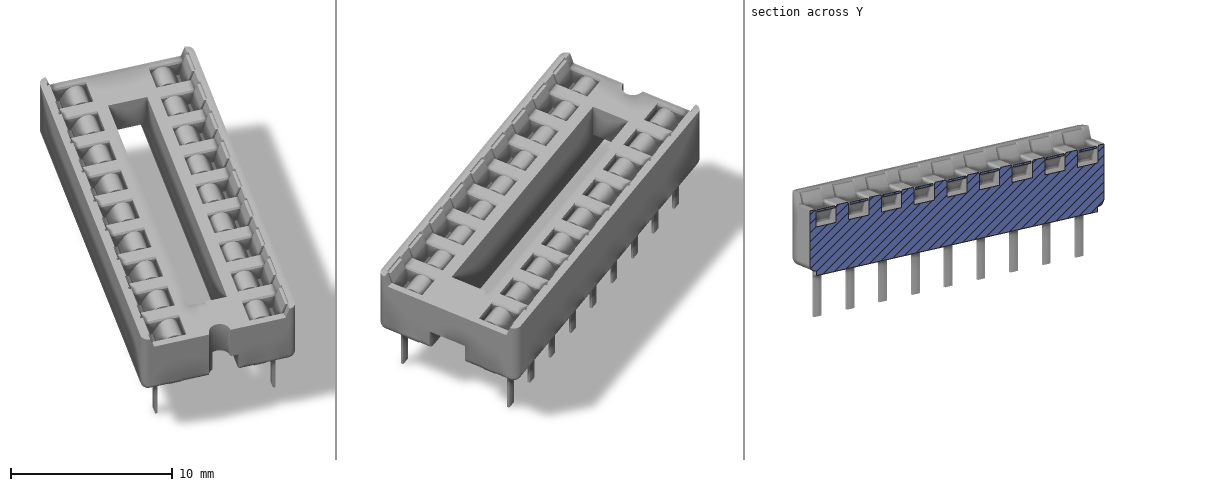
import cadquery as cq
import math


length = 22.85
width = 10.0
overall_height = 8.1
pins_per_row = 9
pitch = length / pins_per_row
standoff_height = 0.32
body_height = 4.78
body_top = standoff_height + body_height
deck_depth = 0.75
deck_z = body_top - deck_depth
edge_radius = 0.5

lip_top_y = 4.5
lip_foot_y = 4.25
lip_tilt = math.atan2(deck_depth, lip_top_y - lip_foot_y)

window_length = 17.42
window_width = pitch
channel_top = 1.92
blocked_edge_y = -0.3
notch_radius = 0.69

rail_y = 2.75
rail_width = 0.82
rail_length = length - 2 * edge_radius

pocket_inner_y = 2.03
pocket_width = 1.53
pocket_depth = 1.15
pocket_floor = deck_z - pocket_depth
pocket_outer_y = 4.6
lead_in_width = 0.1
lead_in_depth = 0.11

contact_width = 1.42
leaf_top_z = body_top - 0.14
leaf_top_y = 4.4
leaf_foot_y = 3.98
leaf_bend_y = 4.15
leaf_bend_z = leaf_top_z - math.tan(lip_tilt) * (leaf_top_y - leaf_bend_y)
arch_centre_y = 2.8
arch_outer_radius = 0.73
arch_inner_radius = 0.66
arch_thickness = 0.15
arch_clearance = 0.02
arch_leg_y = 3.75
arch_leg_tilt = math.radians(60)

pin_y = 1.5 * pitch
pin_width = 0.57
pin_thickness = 0.15
pin_bottom = body_top - overall_height


def extrude_along_x(points_yz, x_width, x_centre=0.0):
    """Extrude a closed Y-Z outline symmetrically about x_centre."""
    start = cq.Workplane("YZ", origin=(x_centre - x_width / 2, 0, 0))
    return start.polyline(points_yz).close().extrude(x_width)


def box_between(x_range, y_range, z_range):
    sizes = [high - low for low, high in (x_range, y_range, z_range)]
    corner = (x_range[0], y_range[0], z_range[0])
    return cq.Workplane("XY").box(*sizes, centered=False).translate(corner)


def make_shell():
    """Rounded block with the deck lowered between two sloped lips."""
    block = cq.Workplane("XY", origin=(0, 0, standoff_height)).box(
        length, width, body_height, centered=(True, True, False)
    )
    block = block.edges("|Z").fillet(edge_radius)
    block = block.faces("<Z").edges().fillet(edge_radius)
    deck_cut = [
        (-lip_top_y, body_top),
        (-lip_foot_y, deck_z),
        (lip_foot_y, deck_z),
        (lip_top_y, body_top),
    ]
    return block.cut(extrude_along_x(deck_cut, length))


def cut_openings(body):
    """Central window, a channel under each end bar and the round notch in the +X end."""
    half_length = length / 2
    half_window = window_width / 2
    window = cq.Workplane("XY").rect(window_length, window_width).extrude(body_top)
    channel_z = (0, channel_top)
    left_channel = box_between((-half_length, 0), (-half_window, half_window), channel_z)
    right_channel = box_between((0, half_length), (blocked_edge_y, half_window), channel_z)
    notch = cq.Workplane("XY").center(half_length, 0).circle(notch_radius).extrude(body_top)
    return body.cut(window).cut(left_channel).cut(right_channel).cut(notch)


def make_rail():
    """Standoff rail on the +Y side."""
    rail_top = standoff_height + edge_radius
    return cq.Workplane("XY").center(0, rail_y).rect(rail_length, rail_width).extrude(rail_top)


def make_lead_in(start_yz, tilt, run):
    """Groove with bevelled sides, sunk below a surface that rises toward +Y at the given tilt."""
    bottom_half = pocket_width / 2
    top_half = bottom_half + lead_in_width
    plane = cq.Plane(origin=(0, *start_yz), xDir=(1, 0, 0), normal=(0, math.cos(tilt), math.sin(tilt)))
    section = [
        (-top_half, 0),
        (-bottom_half, lead_in_depth),
        (bottom_half, lead_in_depth),
        (top_half, 0),
    ]
    return cq.Workplane(plane).polyline(section).close().extrude(run)


def make_pocket():
    """Pocket that runs from the deck into the +Y lip, with bevelled lead-ins along its sides."""
    half = pocket_width / 2
    well = box_between((-half, half), (pocket_inner_y, pocket_outer_y), (pocket_floor, body_top))
    deck_run = lip_foot_y - pocket_inner_y
    lip_run = math.hypot(deck_depth, lip_top_y - lip_foot_y)
    overrun = lead_in_depth * math.tan(lip_tilt / 2)
    lip_start = (
        lip_foot_y - overrun * math.cos(lip_tilt),
        deck_z - overrun * math.sin(lip_tilt),
    )
    deck_lead_in = make_lead_in((pocket_inner_y, deck_z), 0, deck_run + overrun)
    lip_lead_in = make_lead_in(lip_start, lip_tilt, lip_run + overrun)
    return well.union(deck_lead_in).union(lip_lead_in)


def make_leaf():
    """Contact leaf against the lip, bent steeper below the deck."""
    outline = [
        (pocket_outer_y, pocket_floor),
        (pocket_outer_y, leaf_top_z),
        (leaf_top_y, leaf_top_z),
        (leaf_bend_y, leaf_bend_z),
        (leaf_foot_y, pocket_floor),
    ]
    return extrude_along_x(outline, contact_width)


def make_arch():
    """Arched spring strip: sloped outer leg, crown of two radii and upright inner leg."""
    crown_z = deck_z - arch_clearance

    def on_crown(radius, angle, depth=0):
        """Point on the crown or at a depth inside it; the angle is positive toward the lip."""
        centre_z = crown_z - radius
        reach = radius - depth
        return (arch_centre_y + reach * math.sin(angle), centre_z + reach * math.cos(angle))

    def drop_leg(start, foot_y):
        """Point where the sloped leg that leaves the crown at start comes to foot_y."""
        return (foot_y, start[1] - (foot_y - start[0]) * math.tan(arch_leg_tilt))

    thickness = arch_thickness
    upright = -math.pi / 2
    outer_end = on_crown(arch_outer_radius, arch_leg_tilt)
    inside_outer_end = on_crown(arch_outer_radius, arch_leg_tilt, thickness)
    inner_leg_y = arch_centre_y - arch_inner_radius
    leg_inside_y = arch_leg_y - thickness
    return (
        cq.Workplane("YZ", origin=(-contact_width / 2, 0, 0))
        .moveTo(arch_leg_y, pocket_floor)
        .lineTo(*drop_leg(outer_end, arch_leg_y))
        .lineTo(*outer_end)
        .threePointArc(on_crown(arch_outer_radius, arch_leg_tilt / 2), (arch_centre_y, crown_z))
        .threePointArc(on_crown(arch_inner_radius, upright / 2), on_crown(arch_inner_radius, upright))
        .lineTo(inner_leg_y, pocket_floor)
        .lineTo(inner_leg_y + thickness, pocket_floor)
        .lineTo(*on_crown(arch_inner_radius, upright, thickness))
        .threePointArc(
            on_crown(arch_inner_radius, upright / 2, thickness), (arch_centre_y, crown_z - thickness)
        )
        .threePointArc(on_crown(arch_outer_radius, arch_leg_tilt / 2, thickness), inside_outer_end)
        .lineTo(*drop_leg(inside_outer_end, leg_inside_y))
        .lineTo(leg_inside_y, pocket_floor)
        .close()
        .extrude(contact_width)
    )


def make_pin():
    pin = cq.Workplane("XY", origin=(0, pin_y, pin_bottom)).rect(pin_width, pin_thickness)
    return pin.extrude(pocket_floor - pin_bottom)


def repeat_in_row(shape):
    """Copies of a +Y row feature at every contact position in both rows."""
    copies = []
    for index in range(pins_per_row):
        x = (index - (pins_per_row - 1) / 2) * pitch
        copy = shape.val().translate(cq.Vector(x, 0, 0))
        copies += [copy, copy.mirror("XZ")]
    return cq.Workplane("XY").newObject([cq.Compound.makeCompound(copies)])


body = cut_openings(make_shell())
rail = make_rail()
body = body.union(rail).union(rail.mirror("XZ"))
body = body.cut(repeat_in_row(make_pocket()))
for feature in (make_leaf(), make_arch(), make_pin()):
    body = body.union(repeat_in_row(feature))

result = body